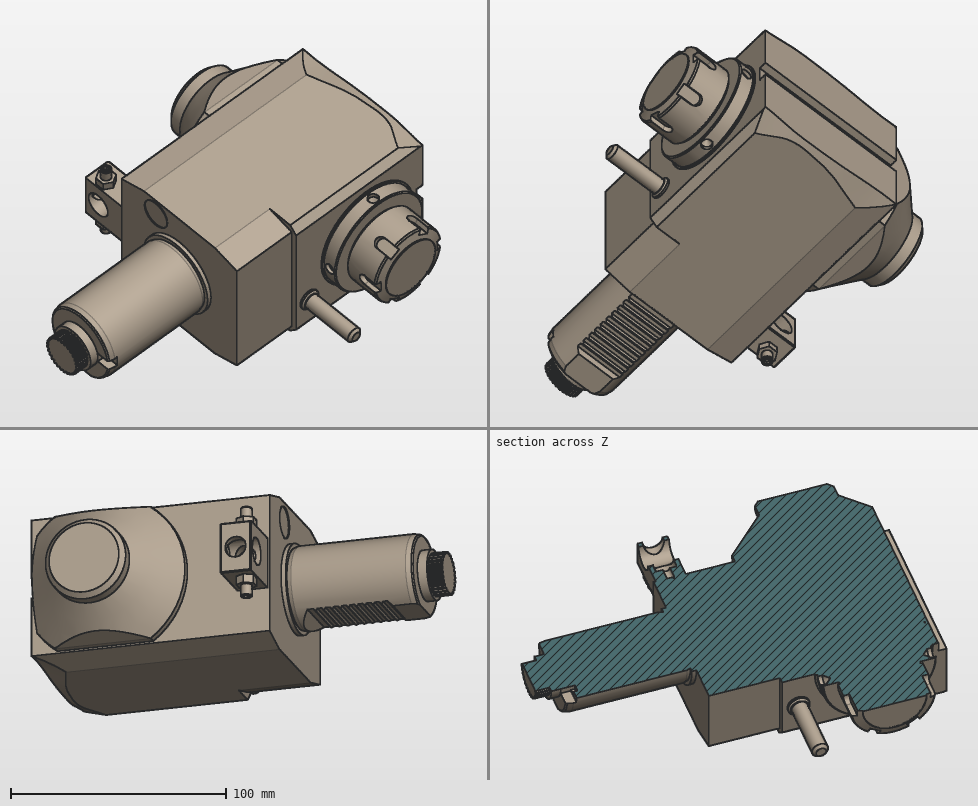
import cadquery as cq
import math


body_length = 116.0
body_half_height = 37.5
body_left = -39.0
body_right = 42.0
front_right = 39.0
front_step_length = 35.0
side_slope_width = 15.0
side_slope_angle = math.radians(15.0)
side_edge_z = body_half_height - side_slope_width * math.tan(side_slope_angle)
right_chamfer = 4.0
rear_slope = 1.0 / 3.0
rear_crown_rise = 2.8
rear_crown_peak_x = 12.0
rear_crown_end_drop = 0.4
rear_cut_length = 20.0
rear_slot_width = 10.0
rear_slot_depth = 4.0
plug_radius = 7.6
plug_recess = 0.5
plug_x = -15.9
plug_z = 27.8

spindle_y = 80.0
cover_radius = 40.0
cover_rim_width = 4.0
cover_rim_half_height = 32.5
cover_flat_y = body_length - rear_slot_depth
knob_radius = 19.5
knob_end_x = -72.0
knob_chamfer = 2.5

collar_radius = 29.0
collar_width = 0.8
flange_radius = 28.0
flange_end_x = 50.5
flange_chamfer = 0.6
groove_radius = 20.0
flange_hole_radius = 2.8
flange_hole_depth = 5.0
flange_hole_count = 4
nut_radius = 21.0
nut_start_x = 51.5
nut_rim_end_x = 69.2
nut_shoulder_x = 70.2
nut_shoulder_radius = 20.6
nut_end_x = 71.4
nut_lip_radius = 15.7
nut_lip_end_x = 72.0
nut_slot_count = 6
nut_slot_width = 6.0
nut_slot_length = 11.9
nut_slot_depth = 3.0

pin_radius = 4.0
pin_y = 43.0
pin_z = -17.8
pin_end_x = 74.14
pin_chamfer = 1.5
pin_seat_radius = 5.4
pin_seat_tip_radius = 4.5
pin_seat_width = 2.0

shank_radius = 20.0
shank_length = 63.4
shank_taper_length = 3.4
shank_tip_radius = 19.4
shank_edge_chamfer = 0.7
shank_collar_radius = 21.5
shank_collar_width = 2.2
shank_neck_radius = 19.4
shank_neck_end = 4.2
spigot_radius = 12.0
spigot_end = 68.0
spline_radius = 10.2
spline_root_radius = 9.4
spline_end = 75.0
spline_count = 28
key_width = 5.6
key_depth = 5.0
key_pocket_width = 4.4
key_pocket_end_x = 15.4
key_pocket_depth = 7.0

rack_flat_z = -17.0
rack_root_z = -15.2
rack_tooth_height = 0.9
rack_pitch = 4.0
rack_tooth_count = 9
rack_first_tooth = 14.0
rack_ramp_start = 5.2
rack_floor_start = 10.2
rack_floor_end = 49.0
rack_flat_start = 51.0

block_left = -64.8
block_front = 1.0
block_back = 16.0
block_half_height = 12.2
block_chamfer = 0.5
block_bore_radius = 6.5
block_bore_x = -55.8
block_inlet_radius = 5.0
block_inlet_end_x = -45.0
block_duct_radius = 1.7
block_axis_y = (block_front + block_back) / 2
jet_y = 6.0
jet_radius = 2.65
jet_reach = 21.9
jet_chamfer = 0.5
jet_socket_width = 3.0
jet_socket_depth = 2.0
jet_nut_across_flats = 8.4
jet_nut_top = 16.3


def box_between(x_range, y_range, z_range):
    """Box given by its limits along X, Y and Z."""
    limits = (x_range, y_range, z_range)
    size = [high - low for low, high in limits]
    center = [(high + low) / 2 for low, high in limits]
    return cq.Workplane("XY").box(*size).translate(tuple(center))


def cylinder_along(direction, start, radius, length):
    """Cylinder from a start point along a direction."""
    solid = cq.Solid.makeCylinder(radius, length, cq.Vector(*start), cq.Vector(*direction))
    return cq.Workplane(obj=solid)


def turned_on_spindle(profile):
    """Revolve (x, radius) points about the spindle axis."""
    outline = cq.Workplane("XY", origin=(0, spindle_y, 0)).polyline(profile).close()
    return outline.revolve(360, (0, 0, 0), (1, 0, 0))


def mirrored_in_z(shape):
    return shape.union(shape.mirror("XY"))


def half_section_body(points, y_start, y_end):
    """Extrude the upper half outline along Y and mirror it below Z = 0."""
    plane = cq.Plane(origin=(0, y_start, 0), xDir=(1, 0, 0), normal=(0, -1, 0))
    return mirrored_in_z(cq.Workplane(plane).polyline(points).close().extrude(y_start - y_end))


def rear_slope_cut():
    """Crowned, sloping cut over the upper rear edge of the body."""
    crown_left = body_left + side_slope_width
    crown_right = body_right - right_chamfer
    crown = [
        (crown_left, side_edge_z),
        (rear_crown_peak_x - 20, side_edge_z + 0.62 * rear_crown_rise),
        (rear_crown_peak_x, side_edge_z + rear_crown_rise),
        (rear_crown_peak_x + 14, side_edge_z + 0.8 * rear_crown_rise),
        (crown_right, side_edge_z),
        (body_right, side_edge_z - rear_crown_end_drop),
    ]
    top_z = side_edge_z + 2 * rear_crown_rise
    plane = cq.Plane(origin=(0, body_length, 0), xDir=(1, 0, 0), normal=(0, -1, 0))
    outline = (
        cq.Workplane(plane)
        .moveTo(body_left, side_edge_z)
        .spline(crown, includeCurrent=True)
        .lineTo(body_right, top_z)
        .lineTo(body_left, top_z)
        .close()
    )
    sweep = cq.Vector(0, -rear_cut_length, rear_cut_length * rear_slope)
    return cq.Workplane(obj=cq.Solid.extrudeLinear(cq.Face.makeFromWires(outline.val()), sweep))


def make_body():
    left_points = [
        (body_left, 0),
        (body_left, side_edge_z),
        (body_left + side_slope_width, body_half_height),
    ]
    front_points = left_points + [
        (front_right - side_slope_width, body_half_height),
        (front_right, side_edge_z),
        (front_right, 0),
    ]
    main_points = left_points + [
        (body_right - right_chamfer, body_half_height),
        (body_right, body_half_height - right_chamfer),
        (body_right, 0),
    ]
    body = half_section_body(front_points, 0, front_step_length)
    body = body.union(half_section_body(main_points, front_step_length, body_length))
    body = body.cut(mirrored_in_z(rear_slope_cut()))
    slot = box_between(
        (body_left, body_right),
        (body_length - rear_slot_depth, body_length),
        (-rear_slot_width / 2, rear_slot_width / 2),
    )
    plug = cylinder_along((0, 1, 0), (plug_x, 0, plug_z), plug_radius, plug_recess)
    return body.cut(slot).cut(plug)


def make_cover():
    """Conical rear cover trimmed by rim flats, side slopes and a rear flat."""
    rim_x = body_left - cover_rim_width
    cover = turned_on_spindle([
        (body_left, 0),
        (body_left, cover_radius),
        (rim_x, cover_radius),
        (rim_x - (cover_radius - knob_radius), knob_radius),
        (knob_end_x + knob_chamfer, knob_radius),
        (knob_end_x, knob_radius - knob_chamfer),
        (knob_end_x, 0),
    ])
    end_z = cover_rim_half_height - (rim_x - knob_end_x) * math.tan(side_slope_angle)
    envelope = half_section_body(
        [
            (body_left, 0),
            (body_left, cover_rim_half_height),
            (rim_x, cover_rim_half_height),
            (knob_end_x, end_z),
            (knob_end_x, 0),
        ],
        spindle_y - cover_radius,
        cover_flat_y,
    )
    return cover.intersect(envelope)


def make_collet_side():
    collar_end_x = body_right + collar_width
    head = turned_on_spindle([
        (body_right, 0),
        (body_right, collar_radius),
        (collar_end_x, collar_radius),
        (collar_end_x, flange_radius),
        (flange_end_x - flange_chamfer, flange_radius),
        (flange_end_x, flange_radius - flange_chamfer),
        (flange_end_x, groove_radius),
        (nut_start_x, groove_radius),
        (nut_start_x, nut_radius),
        (nut_rim_end_x, nut_radius),
        (nut_shoulder_x, nut_shoulder_radius),
        (nut_end_x, nut_lip_radius),
        (nut_lip_end_x, nut_lip_radius),
        (nut_lip_end_x, 0),
    ])
    axis_start = (0, spindle_y, 0)
    axis_end = (1, spindle_y, 0)
    hole_x = (collar_end_x + flange_end_x) / 2
    hole_profile = [
        (0, flange_radius - flange_hole_depth),
        (flange_hole_radius, flange_radius - flange_hole_depth + flange_hole_radius),
        (flange_hole_radius, flange_radius),
        (0, flange_radius),
    ]
    hole_plane = cq.Workplane("XZ", origin=(hole_x, spindle_y, 0))
    hole = hole_plane.polyline(hole_profile).close().revolve(360, (0, 0, 0), (0, 1, 0))
    for index in range(flange_hole_count):
        head = head.cut(hole.rotate(axis_start, axis_end, index * 360 / flange_hole_count))

    slot_round_x = nut_end_x - nut_slot_length + nut_slot_width / 2
    floor_y = spindle_y - nut_radius + nut_slot_depth
    outside_y = floor_y - 2 * nut_slot_depth
    slot = box_between(
        (slot_round_x, nut_lip_end_x),
        (outside_y, floor_y),
        (-nut_slot_width / 2, nut_slot_width / 2),
    )
    slot_end = cylinder_along(
        (0, 1, 0), (slot_round_x, outside_y, 0), nut_slot_width / 2, floor_y - outside_y
    )
    slot = slot.union(slot_end)
    for index in range(nut_slot_count):
        head = head.cut(slot.rotate(axis_start, axis_end, index * 360 / nut_slot_count))
    return head


def make_pin():
    seat_mid_x = body_right + pin_seat_width / 2
    seat_end_x = body_right + pin_seat_width
    profile = [
        (body_right, 0),
        (body_right, pin_seat_radius),
        (seat_mid_x, pin_seat_radius),
        (seat_end_x, pin_seat_tip_radius),
        (seat_end_x, pin_radius),
        (pin_end_x - pin_chamfer, pin_radius),
        (pin_end_x, pin_radius - pin_chamfer),
        (pin_end_x, 0),
    ]
    outline = cq.Workplane("XY", origin=(0, pin_y, pin_z)).polyline(profile).close()
    return outline.revolve(360, (0, 0, 0), (1, 0, 0))


def rack_cut():
    """Toothed recess and end flat cut into the underside of the shank."""
    below_z = -2 * shank_radius
    points = [
        (-rack_ramp_start, below_z),
        (-rack_ramp_start, -shank_radius),
        (-rack_floor_start, rack_root_z),
    ]
    half_tooth = rack_pitch / 4
    for index in range(rack_tooth_count):
        tip_y = -(rack_first_tooth + index * rack_pitch)
        points.append((tip_y + half_tooth, rack_root_z))
        points.append((tip_y, rack_root_z - rack_tooth_height))
        points.append((tip_y - half_tooth, rack_root_z))
    points += [
        (-rack_floor_end, rack_root_z),
        (-rack_flat_start, rack_flat_z),
        (-shank_length, rack_flat_z),
        (-shank_length, below_z),
    ]
    return cq.Workplane("YZ").polyline(points).close().extrude(shank_radius, both=True)


def make_spline():
    """Drive spline: trapezoidal teeth, each corner at a fraction of the tooth pitch."""
    points = []
    step = 2 * math.pi / spline_count
    for index in range(spline_count):
        start = index * step
        corners = (
            (0.0, spline_root_radius),
            (0.3, spline_root_radius),
            (0.5, spline_radius),
            (0.8, spline_radius),
        )
        for fraction, radius in corners:
            angle = start + fraction * step
            points.append((radius * math.cos(angle), radius * math.sin(angle)))
    plane = cq.Workplane("XZ", origin=(0, -spigot_end, 0))
    return plane.polyline(points).close().extrude(spline_end - spigot_end)


def make_shank():
    profile = [
        (0, 0),
        (shank_collar_radius, 0),
        (shank_collar_radius, -shank_collar_width),
        (shank_neck_radius, -shank_collar_width),
        (shank_radius, -shank_neck_end),
        (shank_radius, -(shank_length - shank_taper_length)),
        (shank_tip_radius, -(shank_length - shank_edge_chamfer)),
        (shank_tip_radius - shank_edge_chamfer, -shank_length),
        (spigot_radius, -shank_length),
        (spigot_radius, -spigot_end),
        (0, -spigot_end),
    ]
    shank = cq.Workplane("XY").polyline(profile).close().revolve(360, (0, 0, 0), (0, 1, 0))
    key_slot = box_between(
        (spigot_radius, shank_radius),
        (-shank_length, -shank_length + key_depth),
        (-key_width / 2, key_width / 2),
    )
    key_pocket = box_between(
        (spigot_radius, key_pocket_end_x),
        (-shank_length, -shank_length + key_pocket_depth),
        (-key_pocket_width / 2, key_pocket_width / 2),
    )
    return shank.cut(rack_cut()).cut(key_slot).cut(key_pocket).union(make_spline())


def make_coolant_block():
    block = box_between(
        (block_left, body_left),
        (block_front, block_back),
        (-block_half_height, block_half_height),
    )
    block = block.edges("<X or (>Y and |X)").chamfer(block_chamfer)
    bore = cylinder_along(
        (0, 1, 0), (block_bore_x, block_front, 0), block_bore_radius, block_back - block_front
    )
    inlet_start = (block_left, block_axis_y, 0)
    inlet_length = block_inlet_end_x - block_left
    inlet = cylinder_along((1, 0, 0), inlet_start, block_inlet_radius, inlet_length)
    duct = cylinder_along((1, 0, 0), inlet_start, block_duct_radius, body_left - block_left)
    block = block.cut(bore).cut(inlet).cut(duct)

    jet_origin = (block_bore_x, jet_y, block_half_height)
    jet = cylinder_along((0, 0, 1), jet_origin, jet_radius, jet_reach - block_half_height)
    jet = jet.faces(">Z").chamfer(jet_chamfer)
    jet = jet.faces(">Z").workplane(origin=(block_bore_x, jet_y, 0)).polygon(6, jet_socket_width)
    jet = jet.cutBlind(-jet_socket_depth)
    jet_nut = (
        cq.Workplane("XY", origin=jet_origin)
        .polygon(6, jet_nut_across_flats / math.cos(math.pi / 6))
        .extrude(jet_nut_top - block_half_height)
    )
    return block.union(mirrored_in_z(jet.union(jet_nut)))


result = make_body()
for component in (
    make_cover(),
    make_collet_side(),
    make_pin(),
    make_shank(),
    make_coolant_block(),
):
    result = result.union(component)